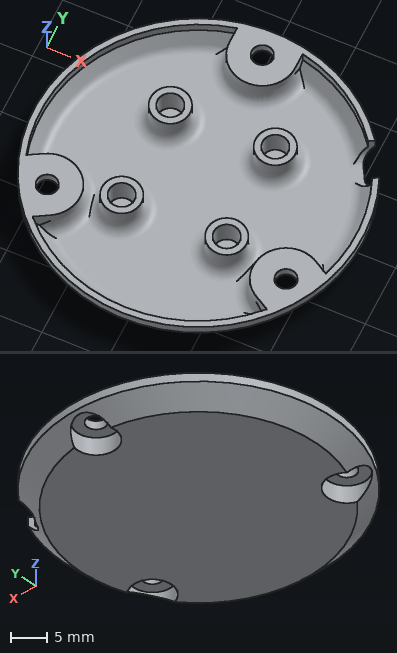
import cadquery as cq
import math

outer_radius = 25.0
rim_height = 4.5
flank_height = 3.0
wall = 1.0
floor_top = 1.0
fillet_radius = 2.0

boss_radius = 5.0
boss_circle_radius = 21.0
boss_angles = (90, 210, 330)
screw_hole_diameter = 3.2
screw_recess_diameter = 7.0
screw_recess_depth = 3.0

pin_diameter = 6.0
pin_hole_diameter = 3.9
pin_top = 5.0
pin_spacing = 16.0

notch_width = 6.0
notch_angle = 30

clearance = 2.5


def dish_body(radius, bottom):
    """Solid of revolution with a 45-degree flank below an upright side."""
    flank_rise = flank_height - bottom
    profile = (
        cq.Workplane("XZ")
        .moveTo(0, bottom)
        .lineTo(radius - flank_rise, bottom)
        .lineTo(radius, flank_height)
        .lineTo(radius, rim_height)
        .lineTo(0, rim_height)
        .close()
    )
    return profile.revolve(360, (0, 0, 0), (0, 1, 0))


def flared_post(radius, top):
    """Round post whose foot flares into the floor with a concave arc."""
    arc_offset = fillet_radius * (1 - math.sqrt(0.5))
    half_section = (
        cq.Workplane("XZ")
        .lineTo(radius + fillet_radius, 0)
        .lineTo(radius + fillet_radius, floor_top)
        .threePointArc(
            (radius + arc_offset, floor_top + arc_offset),
            (radius, floor_top + fillet_radius),
        )
        .lineTo(radius, top)
        .lineTo(0, top)
        .close()
    )
    return half_section.revolve(360, (0, 0, 0), (0, 1, 0))


def screw_boss():
    """Flared round boss on the +Y side, joined to the rim by a block of the same width."""
    reach = outer_radius - boss_circle_radius
    block = (
        cq.Workplane("XY")
        .rect(2 * boss_radius, reach)
        .extrude(rim_height)
        .translate((0, reach / 2, 0))
    )
    boss = flared_post(boss_radius, rim_height).union(block)
    return boss.translate((0, boss_circle_radius, 0))


def screw_cut():
    """Through hole with a wide recess from below, on the +Y side."""
    hole = cq.Workplane("XY").circle(screw_hole_diameter / 2).extrude(rim_height)
    recess = cq.Workplane("XY").circle(screw_recess_diameter / 2).extrude(screw_recess_depth)
    return hole.union(recess).translate((0, boss_circle_radius, 0))


def rim_notch():
    """Radial channel with rounded lower corners, level with the floor."""
    start = outer_radius - flank_height - 2 * fillet_radius
    length = outer_radius + clearance - start
    notch_height = rim_height - floor_top + clearance
    return (
        cq.Workplane("XY", origin=(0, 0, floor_top))
        .rect(length, notch_width)
        .extrude(notch_height)
        .edges("|X and <Z")
        .fillet(fillet_radius)
        .translate((start + length / 2, 0, 0))
        .rotate((0, 0, 0), (0, 0, 1), notch_angle)
    )


def around_axis(shape, angle):
    """Turn a shape built on the +Y side to the given polar angle."""
    return shape.rotate((0, 0, 0), (0, 0, 1), angle - 90)


envelope = dish_body(outer_radius, 0)
cavity = dish_body(outer_radius - wall, floor_top).faces("<Z").edges().fillet(fillet_radius)
result = envelope.cut(cavity).cut(rim_notch())

for angle in boss_angles:
    result = result.union(around_axis(screw_boss(), angle).intersect(envelope))

pin_centers = [(x * pin_spacing / 2, y * pin_spacing / 2) for x in (-1, 1) for y in (-1, 1)]
for x, y in pin_centers:
    result = result.union(flared_post(pin_diameter / 2, pin_top).translate((x, y, 0)))
pin_holes = (
    cq.Workplane("XY", origin=(0, 0, floor_top))
    .pushPoints(pin_centers)
    .circle(pin_hole_diameter / 2)
    .extrude(pin_top - floor_top)
)
result = result.cut(pin_holes)

for angle in boss_angles:
    result = result.cut(around_axis(screw_cut(), angle))